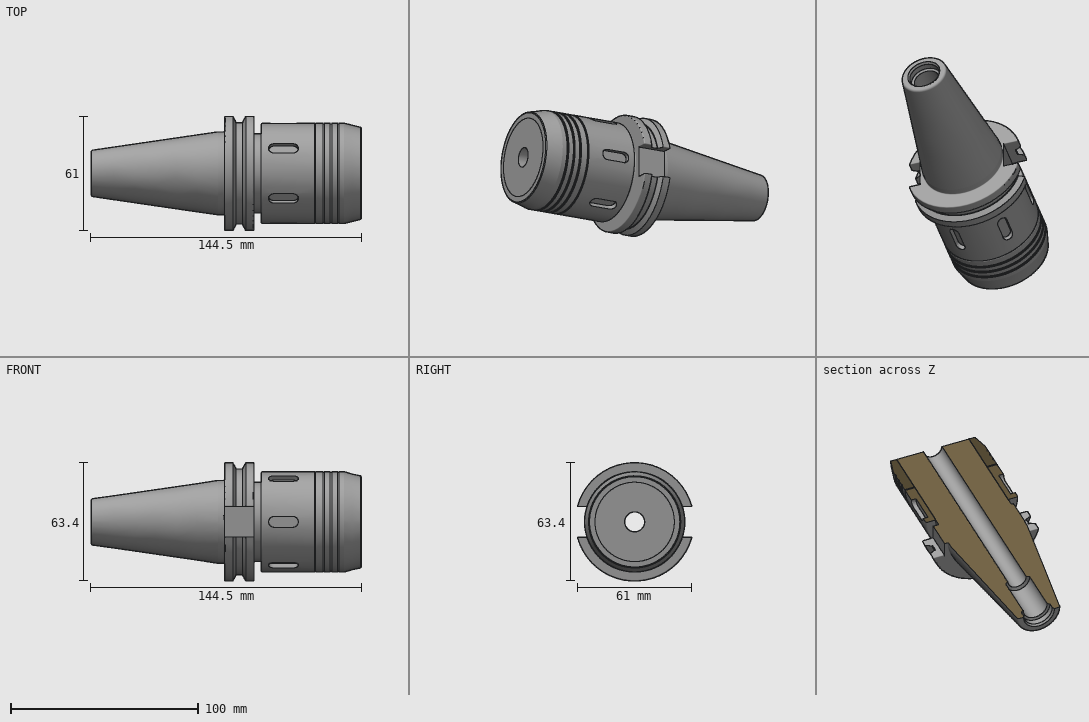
import cadquery as cq
import math

TOTAL_LENGTH = 144.5

TAPER_RATIO = 7 / 24
GAUGE_DIAMETER = 44.5
TAPER_END_X = 67.9
SMALL_END_RADIUS = (GAUGE_DIAMETER - TAPER_RATIO * TAPER_END_X) / 2
SMALL_END_FILLET = 1.3

FLANGE_DIAMETER = 63.4
FLANGE_START_X = 71.4
FLANGE_END_X = 87.1
FLANGE_RIM_FILLET = 0.6
FLANGE_ROOT_FILLET = 0.5
V_GROOVE_CENTER_X = (FLANGE_START_X + FLANGE_END_X) / 2
V_GROOVE_TOP_WIDTH = 7.0
V_GROOVE_FLOOR_WIDTH = 3.6
V_GROOVE_FLOOR_DIAMETER = 56.6
V_GROOVE_FLOOR_STEP = 0.5
DRIVE_SLOT_WIDTH = 16.2
DRIVE_SLOT_EDGE_FILLET = 0.5
FRONT_SLOT_FLOOR_Y = -22.4
BACK_SLOT_FLOOR_Y = 24.4

NOSE_DIAMETER = 42.5

BORE_MOUTH_DIAMETER = 17.9
PILOT_DIAMETER = 16.5
THREAD_DIAMETER = 13.9
THROUGH_DIAMETER = 10.5
MOUTH_CONE_END_X = 1.3
PILOT_END_X = 4.5
THREAD_START_X = 5.2
THREAD_END_X = 28.9
DRILL_CONE_HALF_ANGLE = 60.0

SLEEVE_DIAMETER = 53.7
NUT_START_X = 90.9
NUT_END_X = 119.6
NUT_FILLET = 1.0
NUT_END_CHAMFER = 0.3
WRENCH_SLOT_COUNT = 6
WRENCH_SLOT_LENGTH = 15.9
WRENCH_SLOT_WIDTH = 5.8
WRENCH_SLOT_CENTER_X = 102.8
WRENCH_SLOT_DEPTH = 2.7

RING_START_X = 119.9
RING_FILLET = 0.7
RING_TAPER_START_X = 135.3
RING_END_DIAMETER = 49.1
RING_END_CHAMFER = 0.5
RING_GROOVE_COUNT = 3
RING_GROOVE_WIDTH = 0.9
RING_GROOVE_DEPTH = 0.5
FIRST_RING_GROOVE_X = 124.4
RING_GROOVE_PITCH = 3.9


def turn(points):
    """Solid of revolution about X from a closed (x, radius) outline."""
    return cq.Workplane("XY").polyline(points).close().revolve(360, (0, 0, 0), (1, 0, 0))


def cylinder(start_x, end_x, diameter):
    return cq.Workplane("YZ", origin=(start_x, 0, 0)).circle(diameter / 2).extrude(end_x - start_x)


def edges_at(x, radius):
    """Selector for the circular edges at the given x and radius."""
    margin = 0.01
    reach = radius + margin
    return cq.selectors.BoxSelector(
        (x - margin, -reach, -reach), (x + margin, reach, reach), boundingbox=True
    )


def shank():
    gauge_radius = GAUGE_DIAMETER / 2
    blank = turn([
        (0, 0),
        (0, SMALL_END_RADIUS),
        (TAPER_END_X, gauge_radius),
        (FLANGE_START_X, gauge_radius),
        (FLANGE_START_X, 0),
    ])
    return blank.edges(edges_at(0, SMALL_END_RADIUS)).fillet(SMALL_END_FILLET)


def v_groove():
    rim_radius = FLANGE_DIAMETER / 2
    floor_radius = V_GROOVE_FLOOR_DIAMETER / 2
    flank_end_radius = floor_radius + V_GROOVE_FLOOR_STEP
    half_top = V_GROOVE_TOP_WIDTH / 2
    half_floor = V_GROOVE_FLOOR_WIDTH / 2
    clearance = 1.5
    return turn([
        (V_GROOVE_CENTER_X - half_top, rim_radius + clearance),
        (V_GROOVE_CENTER_X - half_top, rim_radius),
        (V_GROOVE_CENTER_X - half_floor, flank_end_radius),
        (V_GROOVE_CENTER_X - half_floor, floor_radius),
        (V_GROOVE_CENTER_X + half_floor, floor_radius),
        (V_GROOVE_CENTER_X + half_floor, flank_end_radius),
        (V_GROOVE_CENTER_X + half_top, rim_radius),
        (V_GROOVE_CENTER_X + half_top, rim_radius + clearance),
    ])


def drive_slot(floor_y):
    """Slot across the flange rim, from floor_y outward past the rim on the same side."""
    outer_y = math.copysign(FLANGE_DIAMETER, floor_y)
    return cq.Workplane("XY").box(
        FLANGE_END_X - FLANGE_START_X, abs(outer_y - floor_y), DRIVE_SLOT_WIDTH
    ).translate(((FLANGE_START_X + FLANGE_END_X) / 2, (floor_y + outer_y) / 2, 0))


def slot_wall_edges(floor_y, wall_z):
    """Selector for the outer edges of one slot wall, leaving out the edge along the floor."""
    margin = 0.01
    return cq.selectors.BoxSelector(
        (FLANGE_START_X - margin, floor_y + math.copysign(margin, floor_y), wall_z - margin),
        (FLANGE_END_X + margin, math.copysign(FLANGE_DIAMETER, floor_y), wall_z + margin),
    )


def flange():
    rim = cylinder(FLANGE_START_X, FLANGE_END_X, FLANGE_DIAMETER).edges().fillet(FLANGE_RIM_FILLET)
    for floor_y in (FRONT_SLOT_FLOOR_Y, BACK_SLOT_FLOOR_Y):
        rim = rim.cut(drive_slot(floor_y))
        for wall_z in (-DRIVE_SLOT_WIDTH / 2, DRIVE_SLOT_WIDTH / 2):
            rim = rim.edges(slot_wall_edges(floor_y, wall_z)).fillet(DRIVE_SLOT_EDGE_FILLET)
    return rim.cut(v_groove())


def stepped_bore():
    through_radius = THROUGH_DIAMETER / 2
    cone_drop = (THREAD_DIAMETER - THROUGH_DIAMETER) / 2
    cone_end_x = THREAD_END_X + cone_drop / math.tan(math.radians(DRILL_CONE_HALF_ANGLE))
    return turn([
        (0, 0),
        (0, BORE_MOUTH_DIAMETER / 2),
        (MOUTH_CONE_END_X, PILOT_DIAMETER / 2),
        (PILOT_END_X, PILOT_DIAMETER / 2),
        (THREAD_START_X, THREAD_DIAMETER / 2),
        (THREAD_END_X, THREAD_DIAMETER / 2),
        (cone_end_x, through_radius),
        (TOTAL_LENGTH, through_radius),
        (TOTAL_LENGTH, 0),
    ])


def make_holder():
    nose = cylinder(FLANGE_END_X, TOTAL_LENGTH, NOSE_DIAMETER)
    blank = shank().union(flange()).union(nose)
    blank = blank.edges(edges_at(FLANGE_START_X, GAUGE_DIAMETER / 2)).fillet(FLANGE_ROOT_FILLET)
    blank = blank.edges(edges_at(FLANGE_END_X, NOSE_DIAMETER / 2)).fillet(FLANGE_ROOT_FILLET)
    return blank.cut(stepped_bore())


def wrench_slot(angle):
    """Flat-bottomed rounded slot; angle is measured about X from the -Y side."""
    floor_y = -(SLEEVE_DIAMETER / 2 - WRENCH_SLOT_DEPTH)
    return (
        cq.Workplane("XZ", origin=(WRENCH_SLOT_CENTER_X, floor_y, 0))
        .slot2D(WRENCH_SLOT_LENGTH, WRENCH_SLOT_WIDTH)
        .extrude(2 * WRENCH_SLOT_DEPTH)
        .rotate((0, 0, 0), (1, 0, 0), angle)
    )


def make_nut():
    outer_radius = SLEEVE_DIAMETER / 2
    nut = cylinder(NUT_START_X, NUT_END_X, SLEEVE_DIAMETER)
    nut = nut.edges(edges_at(NUT_START_X, outer_radius)).fillet(NUT_FILLET)
    nut = nut.edges(edges_at(NUT_END_X, outer_radius)).chamfer(NUT_END_CHAMFER)
    for index in range(WRENCH_SLOT_COUNT):
        nut = nut.cut(wrench_slot(index * 360 / WRENCH_SLOT_COUNT))
    return nut.cut(cylinder(NUT_START_X, NUT_END_X, NOSE_DIAMETER))


def ring_groove(center_x):
    start_x = center_x - RING_GROOVE_WIDTH / 2
    end_x = center_x + RING_GROOVE_WIDTH / 2
    around = cylinder(start_x, end_x, 2 * SLEEVE_DIAMETER)
    return around.cut(cylinder(start_x, end_x, SLEEVE_DIAMETER - 2 * RING_GROOVE_DEPTH))


def make_ring():
    outer_radius = SLEEVE_DIAMETER / 2
    end_radius = RING_END_DIAMETER / 2
    ring = turn([
        (RING_START_X, 0),
        (RING_START_X, outer_radius),
        (RING_TAPER_START_X, outer_radius),
        (TOTAL_LENGTH, end_radius),
        (TOTAL_LENGTH, 0),
    ])
    ring = ring.edges(edges_at(RING_START_X, outer_radius)).fillet(RING_FILLET)
    ring = ring.edges(edges_at(TOTAL_LENGTH, end_radius)).chamfer(RING_END_CHAMFER)
    for index in range(RING_GROOVE_COUNT):
        ring = ring.cut(ring_groove(FIRST_RING_GROOVE_X + index * RING_GROOVE_PITCH))
    return ring.cut(cylinder(RING_START_X, TOTAL_LENGTH, NOSE_DIAMETER))


holder = make_holder()
nut = make_nut()
ring = make_ring()

result = cq.Compound.makeCompound([holder.val(), nut.val(), ring.val()])